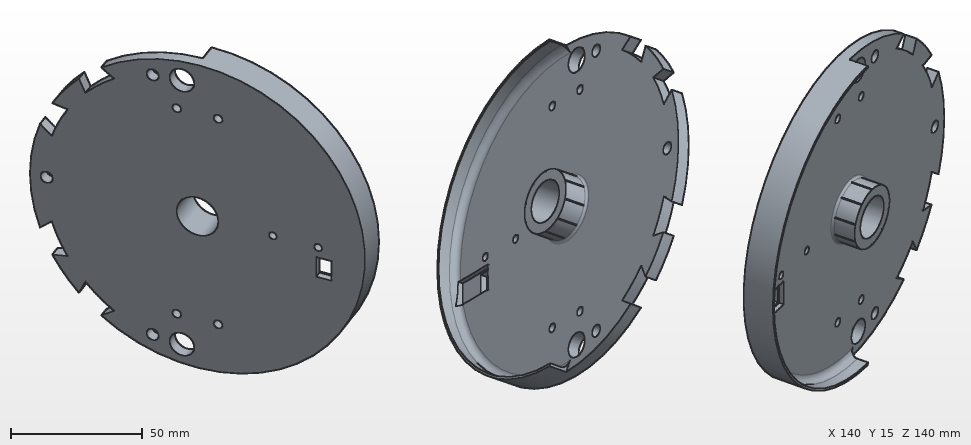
import cadquery as cq
import math

disc_radius = 70.0
disc_thickness = 5.0

rim_top = 13.0
rim_thickness = 1.0
rim_fillet = 3.0
rim_end_slant = 0.6

hub_radius = 12.9
hub_top = 15.0
hub_foot_fillet = 1.0
bore_diameter = 17.3
rib_count = 10
rib_width = 0.4
rib_height = 0.1
rib_root_depth = 0.3
first_rib_angle = 18.0

notch_floor_radius = 64.0
notch_floor_half_angle = 7.0
notch_mouth_half_angle = 5.0
notch_overshoot = 1.0
notch_angles = (130.0, 155.0, 205.0, 230.0)

edge_hole_diameter = 5.0
edge_holes = [(-63.0, 0.0), (-18.7, 60.0), (-18.7, -60.0)]
large_hole_diameter = 10.2
large_holes = [(-6.5, 61.0), (-6.5, -61.0)]
screw_hole_diameter = 3.6
screw_holes = [(x, z) for x in (-8.65, 8.65) for z in (-47.5, 47.5)]
axis_hole_diameter = 3.2
axis_holes = [(31.5, 0.0), (50.4, 0.0)]

window_width = 6.3
window_height = 9.0
window_x = 52.75
window_z = -9.25
web_thickness = 3.0
recess_border = 0.85
recess_end_x = 67.0


def polar(radius, angle):
    """Point at the given radius and angle (degrees) in the XZ plane."""
    return (radius * math.cos(math.radians(angle)), radius * math.sin(math.radians(angle)))


def face_plane(y):
    """Sketch plane parallel to the disc: local axes are X and Z, extrusion runs toward +Y."""
    return cq.Workplane(cq.Plane(origin=(0, y, 0), xDir=(1, 0, 0), normal=(0, -1, 0)))


def prism(sketch, length):
    """Extrude a face_plane sketch toward +Y."""
    return sketch.extrude(-length)


def make_rim():
    """Thin ring with a filleted foot, cut off along a slanted plane at each end."""
    inner_radius = disc_radius - rim_thickness
    foot_radius = inner_radius - rim_fillet
    fillet_top = disc_thickness + rim_fillet
    arc_offset = rim_fillet * math.sqrt(0.5)
    ring = (
        cq.Workplane("XY")
        .moveTo(foot_radius, 0)
        .lineTo(disc_radius, 0)
        .lineTo(disc_radius, rim_top)
        .lineTo(inner_radius, rim_top)
        .lineTo(inner_radius, fillet_top)
        .threePointArc(
            (foot_radius + arc_offset, fillet_top - arc_offset),
            (foot_radius, disc_thickness),
        )
        .close()
        .revolve(360, (0, 0), (0, 1))
    )
    waist_x = -rim_end_slant * disc_radius
    kept_side = face_plane(0).polyline(
        [
            (0, disc_radius),
            (disc_radius, disc_radius),
            (disc_radius, -disc_radius),
            (0, -disc_radius),
            (waist_x, 0),
        ]
    ).close()
    return ring.intersect(prism(kept_side, rim_top))


def make_hub():
    """Round hub with a concave foot fillet and narrow crush ribs along its outside."""
    foot_radius = hub_radius + hub_foot_fillet
    foot_top = disc_thickness + hub_foot_fillet
    arc_offset = hub_foot_fillet * math.sqrt(0.5)
    hub = (
        cq.Workplane("XY")
        .lineTo(foot_radius, 0)
        .lineTo(foot_radius, disc_thickness)
        .threePointArc(
            (foot_radius - arc_offset, foot_top - arc_offset),
            (hub_radius, foot_top),
        )
        .lineTo(hub_radius, hub_top)
        .lineTo(0, hub_top)
        .close()
        .revolve(360, (0, 0), (0, 1))
    )
    rib_mid_radius = hub_radius + (rib_height - rib_root_depth) / 2
    ribs = (
        face_plane(foot_top)
        .polarArray(rib_mid_radius, first_rib_angle, 360, rib_count)
        .rect(rib_height + rib_root_depth, rib_width)
    )
    return hub.union(prism(ribs, hub_top - foot_top))


def make_notch(angle):
    """Dovetail notch with an arc floor, wider at the floor than at the disc edge."""
    slope = (notch_floor_half_angle - notch_mouth_half_angle) / (disc_radius - notch_floor_radius)
    outer_radius = disc_radius + notch_overshoot
    outer_half_angle = notch_mouth_half_angle - slope * (outer_radius - disc_radius)
    outline = (
        face_plane(0)
        .moveTo(*polar(outer_radius, angle - outer_half_angle))
        .lineTo(*polar(notch_floor_radius, angle - notch_floor_half_angle))
        .threePointArc(
            polar(notch_floor_radius, angle),
            polar(notch_floor_radius, angle + notch_floor_half_angle),
        )
        .lineTo(*polar(outer_radius, angle + outer_half_angle))
        .close()
    )
    return prism(outline, disc_thickness)


def make_holes(centres, diameter):
    """Round holes along Y, long enough to pass through the whole part."""
    return prism(face_plane(0).pushPoints(centres).circle(diameter / 2), hub_top)


def make_window():
    """Rectangular window through the web, opening into a recess that runs into the rim fillet."""
    window = prism(
        face_plane(0).center(window_x, window_z).rect(window_width, window_height),
        rim_top,
    )
    recess_start_x = window_x - window_width / 2 - recess_border
    recess_length = recess_end_x - recess_start_x
    recess_height = window_height + 2 * recess_border
    recess = prism(
        face_plane(web_thickness)
        .center(recess_start_x + recess_length / 2, window_z)
        .rect(recess_length, recess_height),
        rim_top - web_thickness,
    )
    return window.union(recess)


disc = prism(face_plane(0).circle(disc_radius), disc_thickness)
result = disc.union(make_rim()).union(make_hub())

for notch_angle in notch_angles:
    result = result.cut(make_notch(notch_angle))

result = result.cut(make_holes([(0, 0)], bore_diameter))
result = result.cut(make_holes(edge_holes, edge_hole_diameter))
result = result.cut(make_holes(large_holes, large_hole_diameter))
result = result.cut(make_holes(screw_holes, screw_hole_diameter))
result = result.cut(make_holes(axis_holes, axis_hole_diameter))
result = result.cut(make_window())